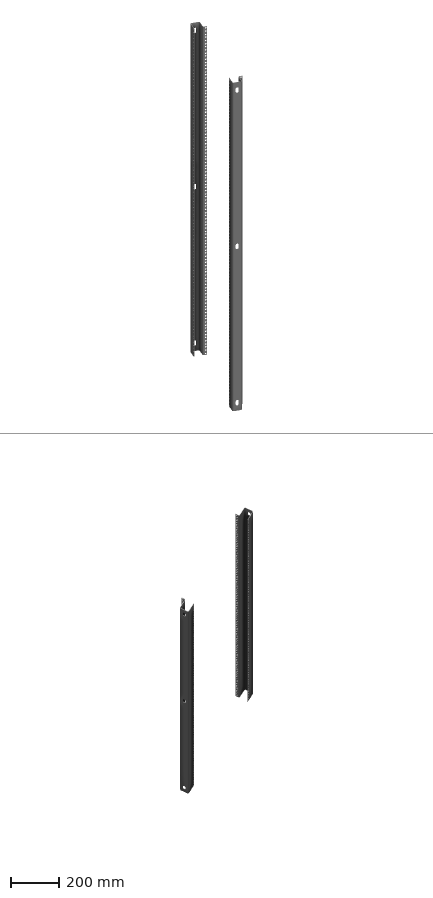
import cadquery as cq

SPAN = 552.0
DEPTH = 59.0
LENGTH = 1555.0

INNER_GAP = 456.0
RAIL_WIDTH = (SPAN - INNER_GAP) / 2
SHEET = 2.0
CHANNEL_DEPTH = 42.0
BEND_RADIUS = 6.0
INNER_RADIUS = BEND_RADIUS - SHEET

RACK_UNITS = 35
UNIT_PITCH = LENGTH / RACK_UNITS
HOLE_DIAMETER = 7.2
FLANGE_HOLE_SPACING = 465.0
LIP_HOLE_EDGE_DISTANCE = 6.5
END_HOLE_OFFSET = UNIT_PITCH / 7
HOLE_OFFSETS = (END_HOLE_OFFSET, UNIT_PITCH / 2, UNIT_PITCH - END_HOLE_OFFSET)

SLOT_LENGTH = 26.0
SLOT_WIDTH = 13.2
SLOT_FRONT_DISTANCE = 20.0
SLOT_END_DISTANCE = 37.0
SLOT_HEIGHTS = (SLOT_END_DISTANCE, LENGTH / 2, LENGTH - SLOT_END_DISTANCE)

LEFT = -SPAN / 2
INNER_EDGE = LEFT + RAIL_WIDTH
FRONT = -DEPTH / 2
BACK = DEPTH / 2
CHANNEL_BACK = FRONT + CHANNEL_DEPTH


def rail_blank():
    """Channel open to the inner side, whose back flange turns into a rearward lip."""
    blank = (
        cq.Workplane("XY")
        .moveTo(INNER_EDGE, FRONT)
        .lineTo(LEFT, FRONT)
        .lineTo(LEFT, CHANNEL_BACK)
        .lineTo(INNER_EDGE - SHEET, CHANNEL_BACK)
        .lineTo(INNER_EDGE - SHEET, BACK)
        .lineTo(INNER_EDGE, BACK)
        .lineTo(INNER_EDGE, CHANNEL_BACK - SHEET)
        .lineTo(LEFT + SHEET, CHANNEL_BACK - SHEET)
        .lineTo(LEFT + SHEET, FRONT + SHEET)
        .lineTo(INNER_EDGE, FRONT + SHEET)
        .close()
        .extrude(LENGTH)
    )
    outer_corners = (
        (LEFT, FRONT),
        (LEFT, CHANNEL_BACK),
        (INNER_EDGE, CHANNEL_BACK - SHEET),
    )
    inner_corners = (
        (LEFT + SHEET, FRONT + SHEET),
        (LEFT + SHEET, CHANNEL_BACK - SHEET),
        (INNER_EDGE - SHEET, CHANNEL_BACK),
    )
    for corners, radius in ((outer_corners, BEND_RADIUS), (inner_corners, INNER_RADIUS)):
        for x, y in corners:
            nearest_edge = cq.selectors.NearestToPointSelector((x, y, LENGTH / 2))
            blank = blank.edges("|Z").edges(nearest_edge).fillet(radius)
    return blank


def hole_heights():
    """Heights of every mounting hole along the rail."""
    return [unit * UNIT_PITCH + offset for unit in range(RACK_UNITS) for offset in HOLE_OFFSETS]


def front_hole_cutters():
    """Pins along Y that pierce only the front flange."""
    x = -FLANGE_HOLE_SPACING / 2
    return (
        cq.Workplane("XZ", origin=(0, FRONT + SHEET, 0))
        .pushPoints([(x, z) for z in hole_heights()])
        .circle(HOLE_DIAMETER / 2)
        .extrude(SHEET)
    )


def lip_hole_cutters():
    """Pins along X that pierce only the rear lip."""
    y = BACK - LIP_HOLE_EDGE_DISTANCE
    return (
        cq.Workplane("YZ", origin=(INNER_EDGE - SHEET, 0, 0))
        .pushPoints([(y, z) for z in hole_heights()])
        .circle(HOLE_DIAMETER / 2)
        .extrude(SHEET)
    )


def web_slot_cutters():
    """Round-ended bars along X that pierce the channel web."""
    y = FRONT + SLOT_FRONT_DISTANCE
    return (
        cq.Workplane("YZ", origin=(LEFT, 0, 0))
        .pushPoints([(y, z) for z in SLOT_HEIGHTS])
        .slot2D(SLOT_LENGTH, SLOT_WIDTH, 90)
        .extrude(SHEET)
    )


def make_rail():
    """One complete rail, on the -X side."""
    rail = rail_blank()
    for cutters in (front_hole_cutters(), lip_hole_cutters(), web_slot_cutters()):
        rail = rail.cut(cutters)
    return rail


left_rail = make_rail()
right_rail = left_rail.mirror("YZ")

result = cq.Compound.makeCompound([left_rail.val(), right_rail.val()])